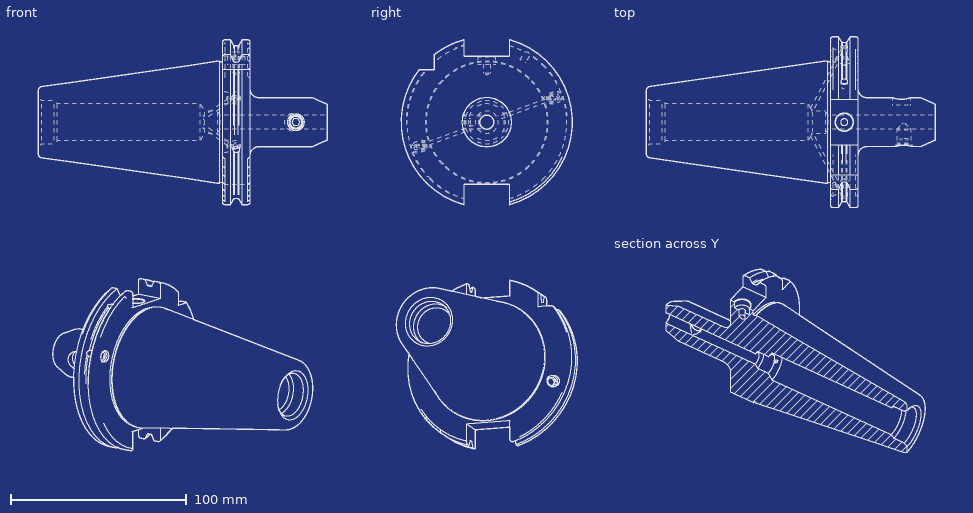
import cadquery as cq
import math

total_length = 164.8
taper_end = 102.5
collar_end = 103.3
flange_start = 105.0
flange_end = 120.8
groove_x = 112.9
screw_x = 146.8
nose_cone_start = 156.3

taper_small_radius = 20.1
taper_large_radius = 35.0
taper_end_fillet = 2.6
neck_radius = 34.5

flange_radius = 48.8
flange_fillet = 1.5
groove_rim_width = 6.6
groove_floor_radius = 45.5
groove_half_angle = 30.0
groove_fillet = 0.8
groove_depth = flange_radius - groove_floor_radius
groove_rim_half = groove_rim_width / 2
groove_floor_half = groove_rim_half - groove_depth * math.tan(math.radians(groove_half_angle))

nose_radius = 14.0
nose_tip_radius = 10.2
nose_root_fillet = 5.0
nose_cone_fillet = 2.3
nose_tip_fillet = 0.8

slot_width = 25.9
top_slot_floor = 37.5
bottom_slot_floor = 35.5
notch_edge = 30.0

chip_radius = 5.0
chip_depth = 4.6
chip_chamfer = 0.3
pilot_radius = 2.0
pilot_depth = 5.0

tool_bore_radius = 4.0
mouth_radius = 14.2
mouth_length = 2.0
counterbore_radius = 12.4
counterbore_depth = 9.0
thread_radius = 10.5
thread_depth = 92.3
core_radius = 6.5
core_depth = 102.1
drill_half_angle = 59.0
drill_slope = math.tan(math.radians(drill_half_angle))

screw_radius = 4.0
screw_recess = 1.5
screw_chamfer = 0.7
socket_width = 4.0
socket_depth = 3.3
screw_mouth_radius = 4.8
screw_mouth_depth = 1.0
blind_hole_x = 145.5
blind_hole_radius = 5.1
blind_hole_depth = 4.1

coolant_plane_angle = 20.0
coolant_tilt = 30.0
entry_position = 41.7
entry_radius = 3.3
entry_depth = 4.6
entry_core_radius = 2.3
entry_core_depth = 10.7
cross_hole_radius = 1.8
cross_hole_depth = 6.6
channel_radius = 1.0
channel_exit_position = 7.2
channel_exit_x = thread_depth + (thread_radius - channel_exit_position) / drill_slope

balance_angle = 59.5
balance_hole_depth = 5.0


def revolve_about_x(points):
    return cq.Workplane("XY").polyline(points).close().revolve(360, (0, 0, 0), (1, 0, 0))


def turn_about_x(body, angle):
    return body.rotate((0, 0, 0), (1, 0, 0), angle)


def box_between(low, high):
    size = [b - a for a, b in zip(low, high)]
    return cq.Workplane("XY").box(*size, centered=False).translate(low)


def flat_hole(start, direction, radius, depth):
    axis = cq.Vector(*direction).normalized()
    return cq.Workplane(obj=cq.Solid.makeCylinder(radius, depth, cq.Vector(*start), axis))


def drilled_hole(start, direction, radius, depth):
    """A round hole that ends in a drill point beyond the given depth."""
    axis = cq.Vector(*direction).normalized()
    point_start = cq.Vector(*start) + axis * depth
    point = cq.Solid.makeCone(radius, 0, radius / drill_slope, point_start, axis)
    return flat_hole(start, direction, radius, depth).union(cq.Workplane(obj=point))


def fillet_circle(body, x, radius, fillet):
    """Round the circular edge of the given radius that lies at station x."""
    tolerance = 0.03
    edges = [
        edge for edge in body.edges("%CIRCLE").vals()
        if abs(edge.Center().x - x) < tolerance and abs(edge.radius() - radius) < tolerance
    ]
    return body.newObject(edges).fillet(fillet)


def holder_blank():
    body = revolve_about_x([
        (0, 0),
        (0, taper_small_radius),
        (taper_end, taper_large_radius),
        (collar_end, taper_large_radius),
        (collar_end, neck_radius),
        (flange_start, neck_radius),
        (flange_start, flange_radius),
        (groove_x - groove_rim_half, flange_radius),
        (groove_x - groove_floor_half, groove_floor_radius),
        (groove_x + groove_floor_half, groove_floor_radius),
        (groove_x + groove_rim_half, flange_radius),
        (flange_end, flange_radius),
        (flange_end, nose_radius),
        (nose_cone_start, nose_radius),
        (total_length, nose_tip_radius),
        (total_length, 0),
    ])
    rounded_edges = [
        (0, taper_small_radius, taper_end_fillet),
        (flange_start, flange_radius, flange_fillet),
        (flange_end, flange_radius, flange_fillet),
        (groove_x - groove_floor_half, groove_floor_radius, groove_fillet),
        (groove_x + groove_floor_half, groove_floor_radius, groove_fillet),
        (flange_end, nose_radius, nose_root_fillet),
        (nose_cone_start, nose_radius, nose_cone_fillet),
        (total_length, nose_tip_radius, nose_tip_fillet),
    ]
    for x, radius, fillet in rounded_edges:
        body = fillet_circle(body, x, radius, fillet)
    return body


def bore():
    return revolve_about_x([
        (0, 0),
        (0, mouth_radius),
        (mouth_length, counterbore_radius),
        (counterbore_depth, counterbore_radius),
        (counterbore_depth + counterbore_radius - thread_radius, thread_radius),
        (thread_depth, thread_radius),
        (thread_depth + (thread_radius - core_radius) / drill_slope, core_radius),
        (core_depth, core_radius),
        (core_depth + (core_radius - tool_bore_radius) / drill_slope, tool_bore_radius),
        (total_length, tool_bore_radius),
        (total_length, 0),
    ])


def flange_slots():
    half = slot_width / 2
    top_slot = box_between(
        (flange_start, -half, top_slot_floor), (flange_end, half, flange_radius))
    bottom_slot = box_between(
        (flange_start, -half, -flange_radius), (flange_end, half, -bottom_slot_floor))
    notch = box_between(
        (flange_start, -flange_radius, notch_edge), (flange_end, -notch_edge, flange_radius))
    return top_slot.union(bottom_slot).union(notch)


def chip_pocket():
    down = (0, 0, -1)
    pocket = flat_hole((groove_x, 0, top_slot_floor), down, chip_radius, chip_depth)
    rim = cq.Solid.makeCone(
        chip_radius + chip_chamfer, chip_radius, chip_chamfer,
        cq.Vector(groove_x, 0, top_slot_floor), cq.Vector(*down))
    pilot = drilled_hole((groove_x, 0, top_slot_floor - chip_depth), down, pilot_radius, pilot_depth)
    return pocket.union(cq.Workplane(obj=rim)).union(pilot)


def nose_holes():
    start = (screw_x, -nose_radius, 0)
    screw_hole = flat_hole(start, (0, 1, 0), screw_radius, nose_radius)
    mouth = flat_hole(start, (0, 1, 0), screw_mouth_radius, screw_mouth_depth)
    blind_hole = flat_hole(
        (blind_hole_x, nose_radius, 0), (0, -1, 0), blind_hole_radius, blind_hole_depth)
    return screw_hole.union(mouth).union(blind_hole)


def coolant_holes(angle):
    """A slanted entry in the flange face, a cross hole in the groove and a channel to the bore."""
    tilt = math.radians(coolant_tilt)
    slant = (math.cos(tilt), math.sin(tilt), 0)
    lead = entry_radius
    start = (flange_start - lead * slant[0], -entry_position - lead * slant[1], 0)
    entry = flat_hole(start, slant, entry_radius, lead + entry_depth)
    entry_core = drilled_hole(start, slant, entry_core_radius, lead + entry_core_depth)

    cross_hole = drilled_hole(
        (groove_x, -flange_radius, 0), (0, 1, 0), cross_hole_radius, groove_depth + cross_hole_depth)

    run = channel_exit_x - groove_x
    rise = groove_floor_radius - channel_exit_position
    channel = flat_hole(
        (groove_x, -groove_floor_radius, 0), (run, rise, 0), channel_radius, math.hypot(run, rise))
    return turn_about_x(entry.union(entry_core).union(cross_hole).union(channel), angle)


def balancing_hole():
    hole = drilled_hole(
        (groove_x, flange_radius, 0), (0, -1, 0), cross_hole_radius, groove_depth + balance_hole_depth)
    return turn_about_x(hole, balance_angle)


def make_holder():
    body = holder_blank().cut(bore()).cut(flange_slots()).cut(chip_pocket()).cut(nose_holes())
    for half_turn in (0, 180):
        body = body.cut(coolant_holes(coolant_plane_angle + half_turn))
    return body.cut(balancing_hole()).solids()


def make_clamping_screw():
    head_y = -nose_radius + screw_recess
    length = -tool_bore_radius - head_y
    plane = cq.Workplane("XZ", origin=(screw_x, head_y, 0))
    shank = plane.circle(screw_radius).extrude(-length).faces("<Y or >Y").chamfer(screw_chamfer)
    hexagon = plane.transformed(rotate=(0, 0, 90)).polygon(6, socket_width, circumscribed=True)
    return shank.cut(hexagon.extrude(-socket_depth)).solids()


holder = make_holder()
clamping_screw = make_clamping_screw()

result = cq.Compound.makeCompound([holder.val(), clamping_screw.val()])